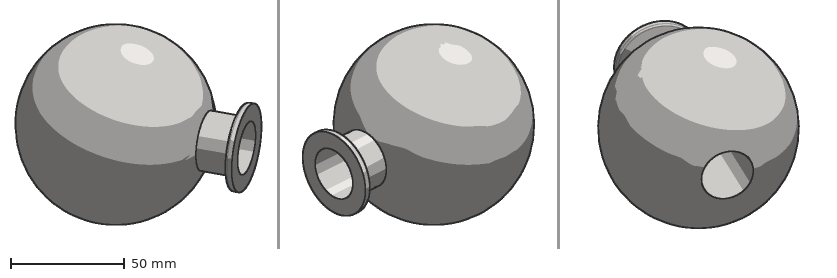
import cadquery as cq
import math

ball_diameter = 88.9
bore_diameter = 24.0
neck_diameter = 27.2
overall_length = 104.12

flange_diameter = 40.0
flange_rim_width = 2.3
flange_back_angle = 15.0
flange_edge_radius = 1.0

ball_radius = ball_diameter / 2
bore_radius = bore_diameter / 2
neck_radius = neck_diameter / 2
flange_radius = flange_diameter / 2

bore_mouth_x = -math.sqrt(ball_radius**2 - bore_radius**2)
flange_face_x = bore_mouth_x + overall_length

edge_turn = math.radians(90 - flange_back_angle)
edge_setback = flange_edge_radius * math.tan(edge_turn / 2)
rim_corner_x = flange_face_x - flange_rim_width - edge_setback
cone_run = (flange_radius - neck_radius) * math.tan(math.radians(flange_back_angle))
cone_root_x = rim_corner_x - cone_run


def x_cylinder(radius, start_x, end_x):
    """Solid cylinder along the X axis."""
    return cq.Workplane("YZ", origin=(start_x, 0, 0)).circle(radius).extrude(end_x - start_x)


def make_flange():
    """Clamp flange with a conical back face and a rounded edge between cone and rim."""
    profile = (
        cq.Workplane("XY")
        .moveTo(cone_root_x, 0)
        .lineTo(cone_root_x, neck_radius)
        .lineTo(rim_corner_x, flange_radius)
        .lineTo(flange_face_x, flange_radius)
        .lineTo(flange_face_x, 0)
        .close()
    )
    flange = profile.revolve(360, (0, 0, 0), (1, 0, 0))
    rim_corner = cq.selectors.BoxSelector(
        (rim_corner_x - flange_edge_radius, -flange_diameter, -flange_diameter),
        (rim_corner_x + flange_edge_radius, flange_diameter, flange_diameter),
        boundingbox=True,
    )
    return flange.edges("%CIRCLE").edges(rim_corner).fillet(flange_edge_radius)


ball = cq.Workplane("XY").sphere(ball_radius)
neck = x_cylinder(neck_radius, 0, flange_face_x)
bore = x_cylinder(bore_radius, -ball_radius, flange_face_x)

result = ball.union(neck).union(make_flange()).cut(bore)